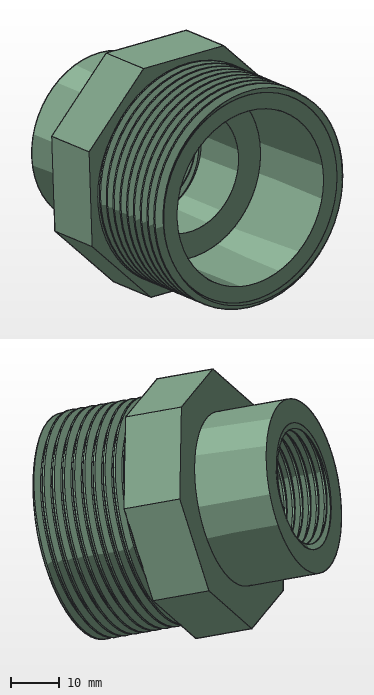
import cadquery as cq
import math


BOSS_DIAMETER = 36.45
BOSS_LENGTH = 16.25
NUT_ACROSS_FLATS = 50.0
NUT_LENGTH = 12.7
NUT_TURN = 2.2
SPIGOT_LENGTH = 21.35
SPIGOT_BORE_DIAMETER = 37.8

nut_start = BOSS_LENGTH
spigot_start = nut_start + NUT_LENGTH
NUT_SIDES = 8
nut_across_corners = NUT_ACROSS_FLATS / math.cos(math.pi / NUT_SIDES)

MALE_CORE_DIAMETER = 44.75
MALE_CREST_DIAMETER = 47.75
MALE_PITCH = 25.4 / 11
MALE_ROOT_WIDTH = 2.0
MALE_CREST_WIDTH = 0.4
MALE_CREST_OFFSET = 0.55

FEMALE_ROOT_DIAMETER = 26.45
FEMALE_CREST_DIAMETER = 24.0
FEMALE_PITCH = 12.7 / 7
FEMALE_ROOT_WIDTH = 1.35
FEMALE_CREST_WIDTH = 0.2
FEMALE_CREST_OFFSET = 1.35
female_length = BOSS_LENGTH


def cylinder(diameter, start, length):
    """Solid cylinder along X from x = start."""
    return cq.Workplane("YZ", origin=(start, 0, 0)).circle(diameter / 2).extrude(length)


def make_fitting():
    nut = (
        cq.Workplane("YZ", origin=(nut_start, 0, 0))
        .polygon(NUT_SIDES, nut_across_corners)
        .extrude(NUT_LENGTH)
        .rotate((0, 0, 0), (1, 0, 0), 180 / NUT_SIDES + NUT_TURN)
    )
    boss = cylinder(BOSS_DIAMETER, 0, BOSS_LENGTH)
    spigot = cylinder(MALE_CORE_DIAMETER, spigot_start, SPIGOT_LENGTH)
    socket_bore = cylinder(FEMALE_ROOT_DIAMETER, 0, spigot_start)
    spigot_bore = cylinder(SPIGOT_BORE_DIAMETER, spigot_start, SPIGOT_LENGTH)
    return nut.union(boss).union(spigot).cut(socket_bore).cut(spigot_bore)


def make_thread(root_diameter, crest_diameter, pitch, root_width, crest_width, crest_offset, start, length):
    """Right-handed helical ridge, trimmed flat at both ends of its length."""
    root_radius = root_diameter / 2
    crest_radius = crest_diameter / 2
    helix_length = length + 4 * pitch
    path = cq.Wire.makeHelix(pitch, helix_length, root_radius)
    profile = (
        cq.Workplane("XZ")
        .moveTo(root_radius, -root_width / 2)
        .lineTo(crest_radius, -crest_width / 2)
        .lineTo(crest_radius, crest_width / 2)
        .lineTo(root_radius, root_width / 2)
        .close()
    )
    ridge = (
        profile.sweep(cq.Workplane(path), isFrenet=True)
        .rotate((0, 0, 0), (1, 1, 1), 120)
        .translate((start + crest_offset - 2 * pitch, 0, 0))
    )
    trim = cylinder(2 * max(root_diameter, crest_diameter), start, length)
    return ridge.intersect(trim)


fitting = make_fitting()
male_thread = make_thread(
    MALE_CORE_DIAMETER, MALE_CREST_DIAMETER, MALE_PITCH, MALE_ROOT_WIDTH,
    MALE_CREST_WIDTH, MALE_CREST_OFFSET, spigot_start, SPIGOT_LENGTH,
)
female_thread = make_thread(
    FEMALE_ROOT_DIAMETER, FEMALE_CREST_DIAMETER, FEMALE_PITCH, FEMALE_ROOT_WIDTH,
    FEMALE_CREST_WIDTH, FEMALE_CREST_OFFSET, 0, female_length,
)

result = cq.Compound.makeCompound([*fitting.vals(), *male_thread.vals(), *female_thread.vals()])